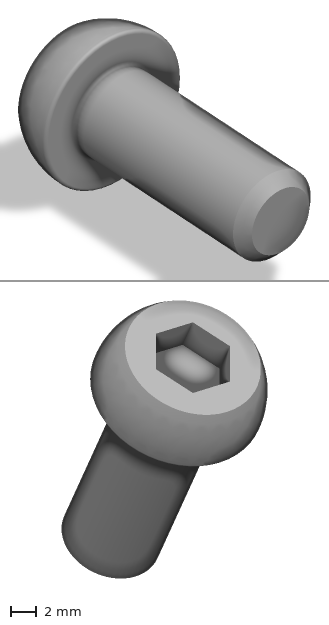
import cadquery as cq
import math

total_length = 25
head_height = 5
head_radius = 7
head_face_radius = 5.5
head_edge_round = 0.3
rim_start = 4.45
shank_radius = 4
neck_fillet = 0.3
tip_chamfer = 1.05
socket_flats = 6
socket_depth = 3

dome_rise = head_radius - head_face_radius
dome_radius = (rim_start**2 + dome_rise**2) / (2 * dome_rise)
dome_half_angle = math.asin(rim_start / dome_radius) / 2
dome_middle = (
    rim_start - dome_radius * math.sin(dome_half_angle),
    head_radius - dome_radius * (1 - math.cos(dome_half_angle)),
)


def make_body():
    """Revolve the head and shank profile around the X axis."""
    profile = (
        cq.Workplane("XY")
        .lineTo(0, head_face_radius)
        .threePointArc(dome_middle, (rim_start, head_radius))
        .lineTo(head_height - head_edge_round, head_radius)
        .radiusArc((head_height, head_radius - head_edge_round), head_edge_round)
        .lineTo(head_height, shank_radius + neck_fillet)
        .radiusArc((head_height + neck_fillet, shank_radius), -neck_fillet)
        .lineTo(total_length - tip_chamfer, shank_radius)
        .lineTo(total_length, shank_radius - tip_chamfer)
        .lineTo(total_length, 0)
        .close()
    )
    return profile.revolve(360, (0, 0, 0), (1, 0, 0))


def make_socket():
    """Hexagonal socket with two corners pointing along Z."""
    across_corners = socket_flats / math.cos(math.pi / 6)
    return (
        cq.Workplane("YZ")
        .transformed(rotate=(0, 0, 90))
        .polygon(6, across_corners)
        .extrude(socket_depth)
    )


result = make_body().cut(make_socket())